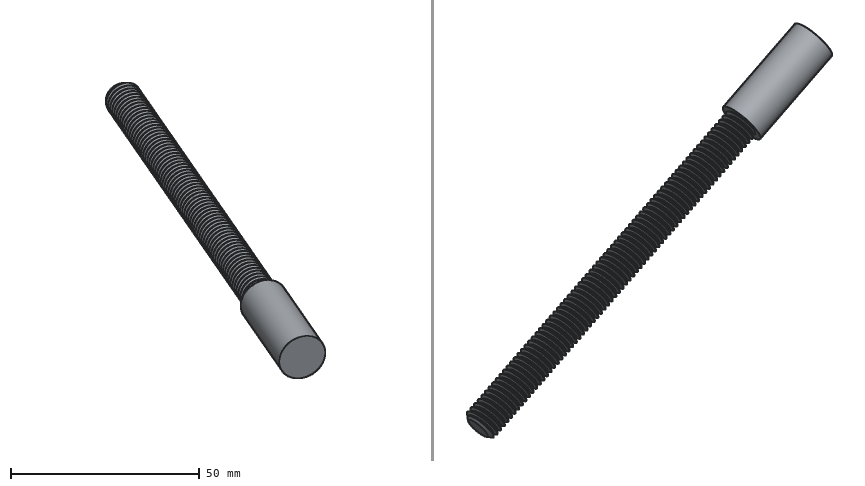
import cadquery as cq
import math

TOTAL_LENGTH = 140.0
SLEEVE_LENGTH = 30.0
SLEEVE_DIAMETER = 13.0
ROD_LENGTH = TOTAL_LENGTH - SLEEVE_LENGTH
ROD_START_X = -TOTAL_LENGTH / 2
SLEEVE_START_X = ROD_START_X + ROD_LENGTH

TURNS_ON_ROD = 73.3
THREAD_PITCH = ROD_LENGTH / TURNS_ON_ROD
FLANK_HALF_ANGLE = 30.0
CREST_RADIUS = 10.0 / 2
ROOT_WIDTH = THREAD_PITCH / 4
CREST_WIDTH = THREAD_PITCH / 8
FLANK_WIDTH = (THREAD_PITCH - ROOT_WIDTH - CREST_WIDTH) / 2
THREAD_DEPTH = FLANK_WIDTH / math.tan(math.radians(FLANK_HALF_ANGLE))
ROOT_RADIUS = CREST_RADIUS - THREAD_DEPTH
THREAD_ROLL = -31.0

EXTRA_TURNS = 2
UNTRIMMED_TURNS = math.ceil(TURNS_ON_ROD) + 2 * EXTRA_TURNS
EXTRA_LENGTH = EXTRA_TURNS * THREAD_PITCH

BEVEL_DEPTH = 1.5
BEVEL_LENGTH = 1.1

TRIM_RADIUS = CREST_RADIUS + 0.7
TRIM_LENGTH = 2 * EXTRA_LENGTH + THREAD_PITCH

PITCH_PROFILE = [
    (ROOT_RADIUS, 0),
    (ROOT_RADIUS, ROOT_WIDTH),
    (CREST_RADIUS, ROOT_WIDTH + FLANK_WIDTH),
    (CREST_RADIUS, ROOT_WIDTH + FLANK_WIDTH + CREST_WIDTH),
    (ROOT_RADIUS, THREAD_PITCH),
]


def make_helix(radius, height):
    """One turn of a right-hand helix about Z that starts at the given height above +X."""
    helix = cq.Wire.makeHelix(THREAD_PITCH, THREAD_PITCH, radius)
    return helix.translate(cq.Vector(0, 0, height)).Edges()[0]


def make_one_turn():
    """Root, flank and crest faces of one turn of thread."""
    helices = [make_helix(radius, height) for radius, height in PITCH_PROFILE]
    return [cq.Face.makeRuledSurface(lower, upper) for lower, upper in zip(helices, helices[1:])]


def make_end_faces():
    """Helical ramp and flat radial step that close one end of the untrimmed thread."""
    axis = cq.Edge.makeLine(cq.Vector(0, 0, 0), cq.Vector(0, 0, THREAD_PITCH))
    ramp = cq.Face.makeRuledSurface(axis, make_helix(ROOT_RADIUS, 0))
    corners = [(0, 0), *PITCH_PROFILE, (0, THREAD_PITCH)]
    outline = cq.Wire.makePolygon([cq.Vector(radius, 0, z) for radius, z in corners], close=True)
    return [ramp, cq.Face.makeFromWires(outline)]


def make_untrimmed_thread():
    """Solid thread along +Z whose ends are helical steps."""
    one_turn = make_one_turn()
    end_faces = make_end_faces()
    top = cq.Vector(0, 0, UNTRIMMED_TURNS * THREAD_PITCH)
    faces = end_faces + [face.translate(top) for face in end_faces]
    for turn in range(UNTRIMMED_TURNS):
        rise = cq.Vector(0, 0, turn * THREAD_PITCH)
        faces += [face.translate(rise) for face in one_turn]
    return cq.Workplane(cq.Solid.makeSolid(cq.Shell.makeShell(faces)))


def make_tip_trimmer():
    """Cutter for everything below Z = 0 and outside the bevel cone."""
    tip_radius = CREST_RADIUS - BEVEL_DEPTH
    bevel_slope = BEVEL_LENGTH / BEVEL_DEPTH
    profile = (
        cq.Workplane("XZ")
        .moveTo(0, -TRIM_LENGTH)
        .lineTo(TRIM_RADIUS, -TRIM_LENGTH)
        .lineTo(TRIM_RADIUS, (TRIM_RADIUS - tip_radius) * bevel_slope)
        .lineTo(tip_radius, 0)
        .lineTo(0, 0)
        .close()
    )
    return profile.revolve(360, (0, 0, 0), (0, 1, 0))


def make_threaded_rod():
    """Threaded rod along X, bevelled at its -X end and cut square at the other."""
    far_trimmer = (
        cq.Workplane("XY").workplane(offset=ROD_LENGTH).circle(TRIM_RADIUS).extrude(TRIM_LENGTH)
    )
    rod = make_untrimmed_thread().translate((0, 0, -EXTRA_LENGTH))
    rod = rod.cut(make_tip_trimmer(), clean=False).cut(far_trimmer, clean=False)
    rod = rod.rotate((0, 0, 0), (0, 0, 1), THREAD_ROLL)
    rod = rod.rotate((0, 0, 0), (0, 1, 0), 90)
    return rod.translate((ROD_START_X, 0, 0))


def make_sleeve():
    """Round sleeve that butts against the end of the rod."""
    sleeve = cq.Workplane("YZ").circle(SLEEVE_DIAMETER / 2).extrude(SLEEVE_LENGTH)
    return sleeve.translate((SLEEVE_START_X, 0, 0))


threaded_rod = make_threaded_rod()
sleeve = make_sleeve()

result = cq.Compound.makeCompound([threaded_rod.val(), sleeve.val()])